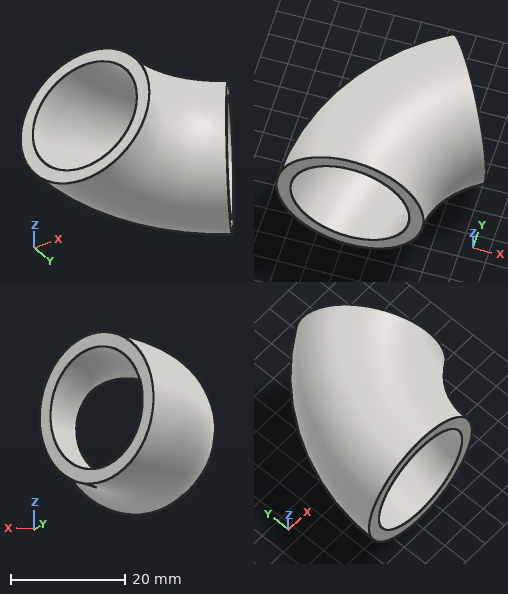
import cadquery as cq
import math

length_y = 36.33
bend_angle = 60.0
outer_diameter = 26.9
bore_diameter = 21.7

outer_radius = outer_diameter / 2
bore_radius = bore_diameter / 2

bend_radius = length_y / math.sin(math.radians(bend_angle)) - outer_radius

axis_start = (bend_radius, 0)
axis_end = (bend_radius, -1)

result = (
    cq.Workplane("XZ")
    .circle(outer_radius)
    .circle(bore_radius)
    .revolve(bend_angle, axis_start, axis_end)
)